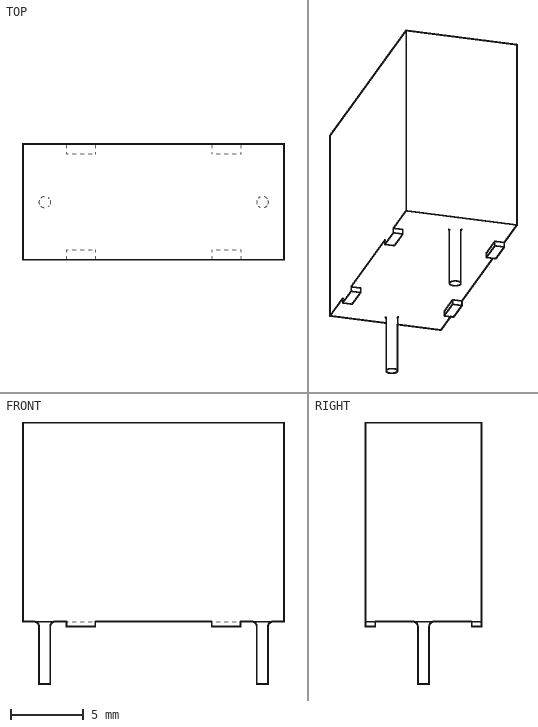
import cadquery as cq

body_length = 18.0
body_width = 8.0
total_height = 18.0
body_height = 13.7
pin_diameter = 0.8
pin_spacing = 15.0
foot_length = 2.0
foot_width = 0.68
foot_height = 0.35
foot_spacing = 10.0
collar_radius = 0.35

pin_length = total_height - body_height
pin_radius = pin_diameter / 2
foot_row_spacing = body_width - foot_width


def make_body():
    """Plain rectangular case standing on Z = 0."""
    return cq.Workplane("XY").box(
        body_length, body_width, body_height, centered=(True, True, False)
    )


def make_feet():
    """Four stand-off pads below the case, flush with its long sides."""
    return (
        cq.Workplane("XY")
        .rarray(foot_spacing, foot_row_spacing, 2, 2)
        .rect(foot_length, foot_width)
        .extrude(-foot_height)
    )


def make_pin(x):
    """Round lead whose top flares into the case through a concave collar."""
    profile = (
        cq.Workplane("XZ")
        .moveTo(0, 0)
        .lineTo(pin_radius + collar_radius, 0)
        .radiusArc((pin_radius, -collar_radius), -collar_radius)
        .lineTo(pin_radius, -pin_length)
        .lineTo(0, -pin_length)
        .close()
    )
    return profile.revolve(360, (0, 0, 0), (0, 1, 0)).translate((x, 0, 0))


result = make_body().union(make_feet())
for side in (-1, 1):
    result = result.union(make_pin(side * pin_spacing / 2))